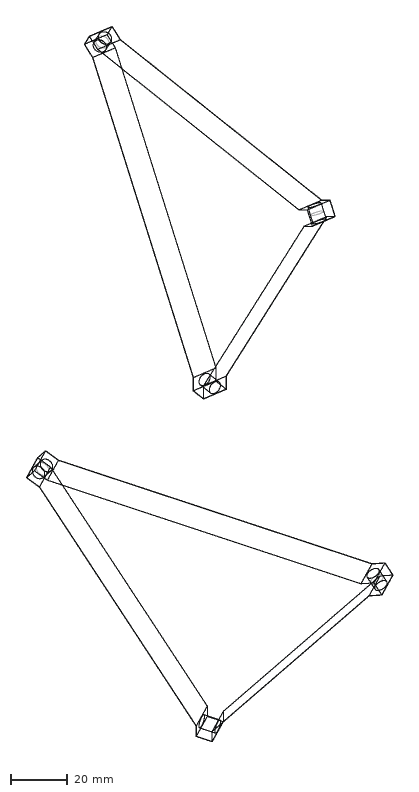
import cadquery as cq
import math

overall_width = 137.8
thickness = 10.0
tab_width = 6.2
tab_length = 5.8
hole_diameter = 5.0

corner_count = 3
corner_step = 360.0 / corner_count
half_tab = tab_width / 2
upper_tab_angle = math.radians(30)
tip_radius = (overall_width / 2 - half_tab * math.sin(upper_tab_angle)) / math.cos(upper_tab_angle)
root_radius = tip_radius - tab_length


def rotate_point(point, degrees):
    """Rotate an (x, z) point about the centre of the plate."""
    x, z = point
    angle = math.radians(degrees)
    return (
        x * math.cos(angle) - z * math.sin(angle),
        x * math.sin(angle) + z * math.cos(angle),
    )


def make_plate():
    """Solid triangular plate with a square-ended tab at each corner."""
    lower_tab = [
        (-half_tab, -root_radius),
        (-half_tab, -tip_radius),
        (half_tab, -tip_radius),
        (half_tab, -root_radius),
    ]
    outline = [
        rotate_point(point, corner * corner_step)
        for corner in range(corner_count)
        for point in lower_tab
    ]
    return cq.Workplane("XZ").polyline(outline).close().extrude(thickness / 2, both=True)


def make_tab_hole(corner):
    """Cylinder crossing one tab from side to side, centred along its length."""
    hole_centre_z = -(tip_radius - tab_length / 2)
    hole = (
        cq.Workplane("YZ")
        .center(0, hole_centre_z)
        .circle(hole_diameter / 2)
        .extrude(tab_width, both=True)
    )
    return hole.rotate((0, 0, 0), (0, 1, 0), corner * corner_step)


result = make_plate()
for corner in range(corner_count):
    result = result.cut(make_tab_hole(corner))